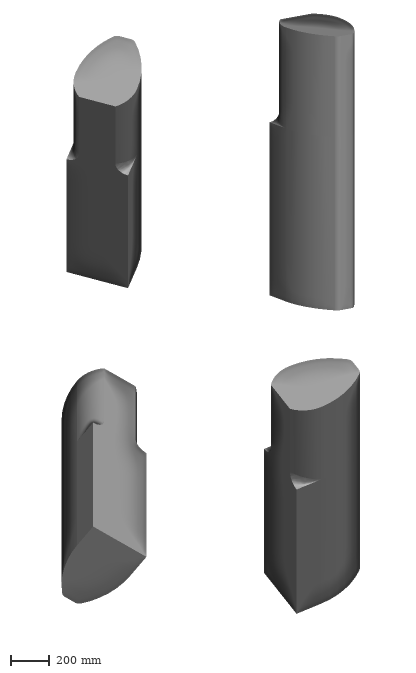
import cadquery as cq
import math

width = 339.0
depth = 453.0
height = 1480.0
half_width = width / 2

side_length = 148.0
back_start = 440.0
back_start_half = 60.0

shoulder_z = 935.0
corner_width = 69.5
front_half = half_width - corner_width
scoop_height = corner_width
guide_rows = 4
guide_angles = (22.5, 45.0, 67.5)


def tangent_arc_radius(run, offset):
    """Radius of an arc that starts along Y and has moved sideways by offset after run."""
    return (run ** 2 + offset ** 2) / (2 * offset)


side_radius = tangent_arc_radius(back_start - side_length, half_width - back_start_half)
corner_radius = tangent_arc_radius(side_length, corner_width)

back_turn = math.asin((back_start - side_length) / side_radius)
back_radius = (depth - back_start) / (1 - math.sin(back_turn))
back_flat_half = back_start_half - back_radius * math.cos(back_turn)


def side_arc_x(y):
    """Half width on the large arc behind the straight side."""
    return half_width - side_radius + math.sqrt(side_radius ** 2 - (y - side_length) ** 2)


def corner_arc_x(y):
    """Half width on the arc that narrows the upper part towards the front."""
    return half_width - corner_radius + math.sqrt(corner_radius ** 2 - (side_length - y) ** 2)


def side_outline(start):
    """Close an outline begun at the left side's rear end and led round the front to the right side's."""
    middle_y = (side_length + back_start) / 2
    middle_x = side_arc_x(middle_y)
    turn_middle = (back_turn + math.pi / 2) / 2
    corner_middle_x = back_flat_half + back_radius * math.cos(turn_middle)
    corner_middle_y = depth - back_radius * (1 - math.sin(turn_middle))
    return (
        start
        .threePointArc((middle_x, middle_y), (back_start_half, back_start))
        .threePointArc((corner_middle_x, corner_middle_y), (back_flat_half, depth))
        .lineTo(-back_flat_half, depth)
        .threePointArc((-corner_middle_x, corner_middle_y), (-back_start_half, back_start))
        .threePointArc((-middle_x, middle_y), (-half_width, side_length))
        .close()
    )


def lower_body():
    """Lower part of the post, with square front corners."""
    front = (
        cq.Workplane("XY")
        .moveTo(-half_width, side_length)
        .lineTo(-half_width, 0)
        .lineTo(half_width, 0)
        .lineTo(half_width, side_length)
    )
    return side_outline(front).extrude(shoulder_z)


def upper_body():
    """Upper part of the post, with its front corners cut back to arcs."""
    middle_y = side_length / 2
    middle_x = corner_arc_x(middle_y)
    front = (
        cq.Workplane("XY", origin=(0, 0, shoulder_z))
        .moveTo(-half_width, side_length)
        .threePointArc((-middle_x, middle_y), (-front_half, 0))
        .lineTo(front_half, 0)
        .threePointArc((middle_x, middle_y), (half_width, side_length))
    )
    return side_outline(front).extrude(height - shoulder_z)


def shoulder_wedge():
    """Wedge across the full width that fills both shoulders up to a sloping plane."""
    return (
        cq.Workplane("YZ", origin=(-half_width, 0, 0))
        .polyline([(0, shoulder_z), (side_length, shoulder_z), (0, shoulder_z + scoop_height)])
        .close()
        .extrude(width)
    )


def scoop_point(side, y, degrees):
    """Point on a scoop: a quarter ellipse at each Y, from the shoulder edge (0) to the wall (90)."""
    angle = math.radians(degrees)
    reach = half_width - corner_arc_x(y)
    rise = scoop_height * (1 - y / side_length)
    x = half_width - reach * math.sin(angle)
    z = shoulder_z + rise * (1 - math.cos(angle))
    return cq.Vector(side * x, y, z)


def front_arc(side):
    """Edge where a scoop meets the front face."""
    start, middle, end = [scoop_point(side, 0, degrees) for degrees in (0, 45, 90)]
    return cq.Edge.makeThreePointArc(start, middle, end)


def scoop_face(side, wall_edge):
    """Concave surface between the cut-back corner wall, the shoulder edge and the front face."""
    shoulder_edge = cq.Edge.makeLine(scoop_point(side, 0, 0), scoop_point(side, side_length, 0))
    guides = [
        scoop_point(side, side_length * row / (guide_rows + 1), degrees)
        for row in range(1, guide_rows + 1)
        for degrees in guide_angles
    ]
    return cq.Face.makeNSidedSurface([front_arc(side), wall_edge, shoulder_edge], guides)


def front_face():
    """Flat front of the post, bounded at the shoulders by the scoop arcs."""
    upper_corners = [
        (front_half, shoulder_z + scoop_height),
        (front_half, height),
        (-front_half, height),
        (-front_half, shoulder_z + scoop_height),
    ]
    lower_corners = [
        (-half_width, shoulder_z),
        (-half_width, 0),
        (half_width, 0),
        (half_width, shoulder_z),
    ]
    edges = [front_arc(1), front_arc(-1)]
    for corners in (upper_corners, lower_corners):
        points = [cq.Vector(x, 0, z) for x, z in corners]
        edges += [cq.Edge.makeLine(first, second) for first, second in zip(points, points[1:])]
    return cq.Face.makeFromWires(cq.Wire.combine(edges)[0])


def scooped_post():
    """Solid bounded by the faces of the wedged post, with scoops in place of the wedge faces."""
    blank = lower_body().union(upper_body(), clean=False).union(shoulder_wedge(), clean=False)
    wedge_faces = cq.selectors.BoxSelector(
        (-width, 0, shoulder_z), (width, side_length, shoulder_z + scoop_height)
    )
    sloping_edges = blank.faces(wedge_faces).edges("%ELLIPSE").vals()
    scoops = [scoop_face(math.copysign(1, edge.Center().x), edge) for edge in sloping_edges]
    kept_faces = blank.faces(cq.selectors.InverseSelector(wedge_faces)).faces("not <Y").vals()
    return cq.Solid.makeSolid(cq.Shell.makeShell(kept_faces + scoops + [front_face()]))


result = cq.Workplane(obj=scooped_post())